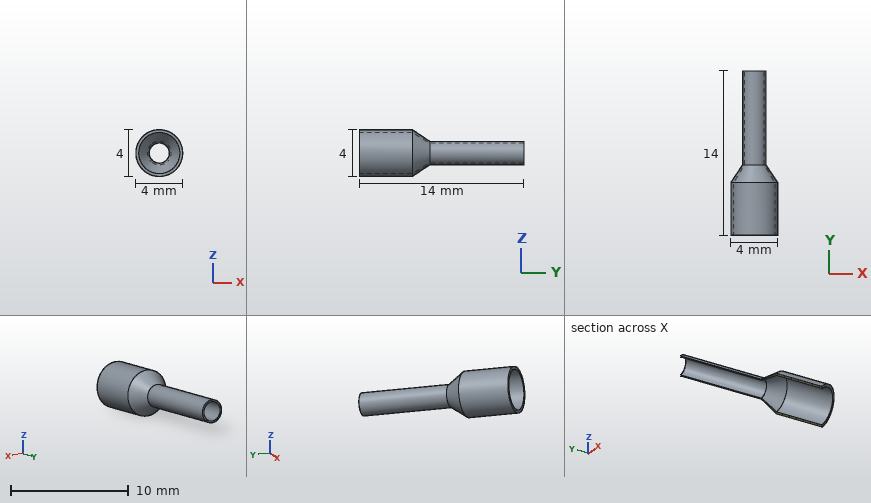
import cadquery as cq

total_length = 14.0
collar_length = 4.5
cone_length = 1.5
cone_end = collar_length + cone_length

collar_outer_diameter = 4.0
collar_inner_diameter = 3.5
tube_outer_diameter = 2.0
tube_inner_diameter = 1.7


def revolved_funnel(collar_diameter, tube_diameter):
    """Solid collar, cone and tube about the Y axis, with the collar mouth at Y = 0."""
    collar_radius = collar_diameter / 2
    tube_radius = tube_diameter / 2
    return (
        cq.Workplane("XY")
        .lineTo(collar_radius, 0)
        .lineTo(collar_radius, collar_length)
        .lineTo(tube_radius, cone_end)
        .lineTo(tube_radius, total_length)
        .lineTo(0, total_length)
        .close()
        .revolve(360, (0, 0, 0), (0, 1, 0))
    )


outer_body = revolved_funnel(collar_outer_diameter, tube_outer_diameter)
bore = revolved_funnel(collar_inner_diameter, tube_inner_diameter)
result = outer_body.cut(bore)